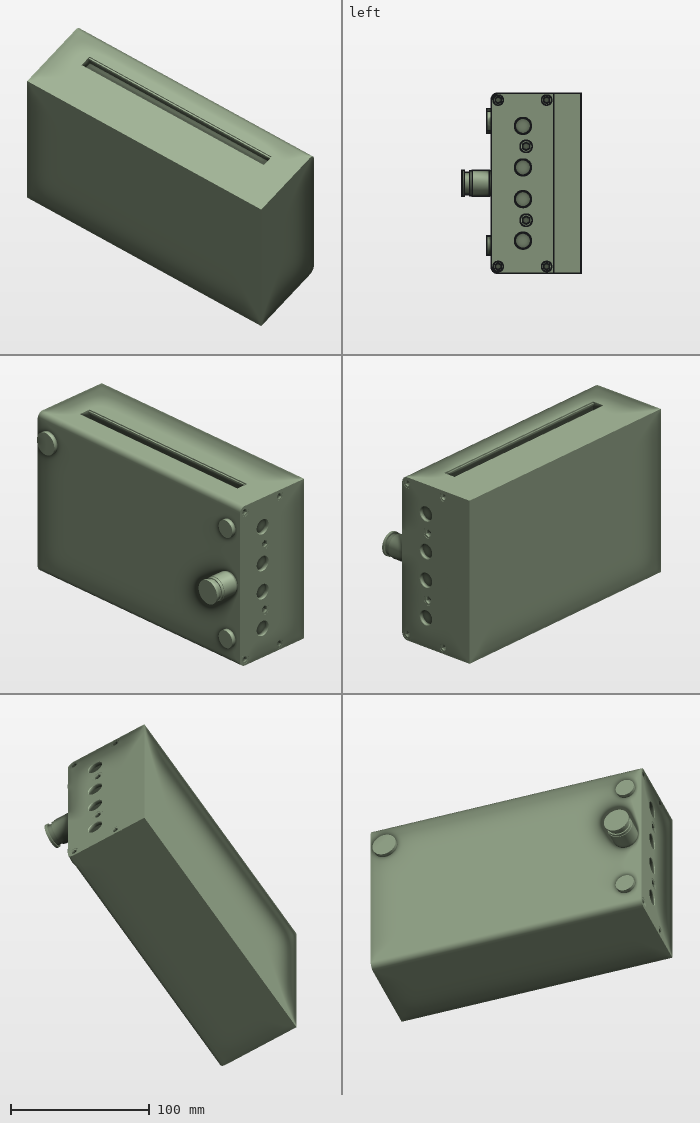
import cadquery as cq

length = 208.0
height = 130.0
plate_depth = 20.0
block_depth = 45.0
cap_width = 23.0
back_radius = 5.0

left_x = -length / 2
top_z = height / 2
back_y = block_depth
cap_middle_x = length / 2 - cap_width / 2

slot_y = 20.0
mouth_width = 10.0
mouth_depth = 1.0
throat_width = 8.0
throat_depth = 2.5
channel_width = 10.5
channel_depth = 7.5

screw_recess = 0.2
corner_head_diameter = 7.3
corner_hex_flats = 4.2
corner_screw_z = top_z - back_radius
corner_screw_ys = (back_radius, back_y - back_radius)
middle_head_diameter = 8.7
middle_hex_flats = 5.0
middle_screw_y = back_y - 25.2
middle_screw_z = 26.6
hex_depth = 4.0

port_diameter = 11.2
port_depth = 3.1
port_chamfer = 0.5
port_y = back_y - 22.9
port_zs = (11.5, 41.4)

button_height = 3.3
button_z = 45.0
small_button_diameter = 14.0
large_button_diameter = 17.9
connector_diameter = 19.0
connector_step_diameter = 18.0
connector_groove_diameter = 16.2
collar_end = 1.5
sleeve_end = 13.5
step_end = 15.5
groove_end = 19.3
connector_length = 21.2


def back_block(width, middle_x):
    """Block behind the front plate with its two long back edges rounded."""
    block = cq.Workplane("XY").box(width, block_depth, height)
    block = block.edges("|X and >Y").fillet(back_radius)
    return block.translate((middle_x, block_depth / 2, 0))


def back_disc(diameter, start, end, x, z):
    """Cylinder along Y spanning two distances behind the back face."""
    return cq.Workplane("XZ", origin=(x, back_y + start, z)).circle(diameter / 2).extrude(start - end)


def left_face(y, z, depth=0.0):
    """Workplane on the left end face, facing into the body, at a given depth."""
    return cq.Workplane("YZ", origin=(left_x + depth, y, z))


def socket_screw(head_diameter, hex_flats, y, z):
    """Material removed by a sunken screw head and its hexagon socket."""
    head = left_face(y, z).circle(head_diameter / 2).extrude(screw_recess)
    head_face = left_face(y, z, screw_recess)
    hexagon = head_face.polygon(6, hex_flats, circumscribed=True).extrude(hex_depth)
    return head.union(hexagon)


def port(y, z):
    """Material removed by a chamfered blind port."""
    mouth = left_face(y, z).circle(port_diameter / 2 + port_chamfer)
    mouth = mouth.workplane(offset=port_chamfer).circle(port_diameter / 2).loft()
    bore = left_face(y, z).circle(port_diameter / 2).extrude(port_depth)
    return bore.union(mouth)


def plug_connector(x):
    """Stepped round connector standing on the back face."""
    steps = (
        (connector_step_diameter, 0.0, collar_end),
        (connector_diameter, collar_end, sleeve_end),
        (connector_step_diameter, sleeve_end, step_end),
        (connector_groove_diameter, step_end, groove_end),
        (connector_diameter, groove_end, connector_length),
    )
    connector = cq.Workplane("XZ")
    for diameter, start, end in steps:
        connector = connector.union(back_disc(diameter, start, end, x, 0))
    return connector


def make_front_plate():
    return cq.Workplane("XY").box(length, plate_depth, height).translate((0, -plate_depth / 2, 0))


def make_centre_block():
    width = length - 2 * cap_width
    block = back_block(width, 0)
    slot_layers = (
        (mouth_width, 0.0, mouth_depth),
        (throat_width, mouth_depth, throat_depth),
        (channel_width, throat_depth, channel_depth),
    )
    for layer_width, upper, lower in slot_layers:
        layer = cq.Workplane("XY").box(width, layer_width, lower - upper)
        block = block.cut(layer.translate((0, slot_y, top_z - (upper + lower) / 2)))
    return block


def make_left_cap():
    cap = back_block(cap_width, -cap_middle_x)
    cap = cap.union(plug_connector(-cap_middle_x))
    for side in (-1, 1):
        cap = cap.union(back_disc(small_button_diameter, 0, button_height, -cap_middle_x, side * button_z))
        for y in corner_screw_ys:
            cap = cap.cut(socket_screw(corner_head_diameter, corner_hex_flats, y, side * corner_screw_z))
        middle_z = side * middle_screw_z
        cap = cap.cut(socket_screw(middle_head_diameter, middle_hex_flats, middle_screw_y, middle_z))
        for z in port_zs:
            cap = cap.cut(port(port_y, side * z))
    return cap


def make_right_cap():
    cap = back_block(cap_width, cap_middle_x)
    return cap.union(back_disc(large_button_diameter, 0, button_height, cap_middle_x, button_z))


front_plate = make_front_plate()
centre_block = make_centre_block()
left_cap = make_left_cap()
right_cap = make_right_cap()

result = cq.Compound.makeCompound([
    front_plate.val(),
    centre_block.val(),
    left_cap.val(),
    right_cap.val(),
])